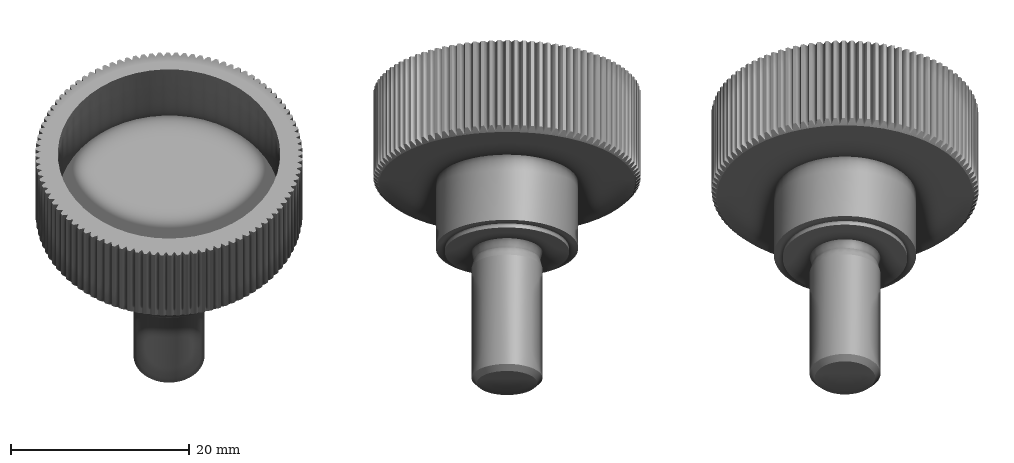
import cadquery as cq
import math

total_length = 35.5
head_height = 11.0
hub_height = 8.0
seat_height = 0.5
shank_length = total_length - head_height - hub_height - seat_height

head_diameter = 30.0
bore_diameter = 25.0
hub_diameter = 16.0
seat_diameter = 14.0
shank_diameter = 8.0

bore_depth = 8.0
head_chamfer = 0.6
tip_chamfer = 0.6
neck_length = 2.02
neck_depth = 0.25

groove_count = 100
groove_depth = 0.55
groove_width = 0.6

seat_bottom = shank_length
hub_bottom = seat_bottom + seat_height
head_bottom = hub_bottom + hub_height


def disc(diameter, height, bottom):
    """Upright cylinder on the Z axis, starting at the given level."""
    return cq.Workplane("XY").workplane(offset=bottom).circle(diameter / 2).extrude(height)


def make_knurled_head():
    """Cupped head with a chamfered lower rim and straight knurling."""
    head = disc(head_diameter, head_height, head_bottom).faces("<Z").edges().chamfer(head_chamfer)

    tip_radius = head_diameter / 2
    root_radius = tip_radius - groove_depth
    pitch_angle = 2 * math.pi / groove_count
    half_groove_angle = math.asin(groove_width / 2 / tip_radius)

    def rim_point(radius, angle):
        return (radius * math.cos(angle), radius * math.sin(angle))

    outline = cq.Workplane("XY").workplane(offset=head_bottom).moveTo(*rim_point(root_radius, 0))
    for index in range(groove_count):
        start = index * pitch_angle
        end = start + pitch_angle
        outline = outline.lineTo(*rim_point(tip_radius, start + half_groove_angle))
        outline = outline.threePointArc(
            rim_point(tip_radius, start + pitch_angle / 2),
            rim_point(tip_radius, end - half_groove_angle),
        )
        if index < groove_count - 1:
            outline = outline.lineTo(*rim_point(root_radius, end))
    knurled_blank = outline.close().extrude(head_height)

    bore = disc(bore_diameter, bore_depth, total_length - bore_depth)
    return knurled_blank.intersect(head).cut(bore)


def make_shank():
    """Screw shank with a chamfered tip and a waisted neck under the seat."""
    radius = shank_diameter / 2
    profile = [
        (0, 0),
        (radius - tip_chamfer, 0),
        (radius, tip_chamfer),
        (radius, seat_bottom - neck_length),
        (radius - neck_depth, seat_bottom - neck_length / 2),
        (radius, seat_bottom),
        (0, seat_bottom),
    ]
    return cq.Workplane("XZ").polyline(profile).close().revolve(360, (0, 0), (0, 1))


hub = disc(hub_diameter, hub_height, hub_bottom)
seat = disc(seat_diameter, seat_height, seat_bottom)

result = make_knurled_head().union(hub).union(seat).union(make_shank())